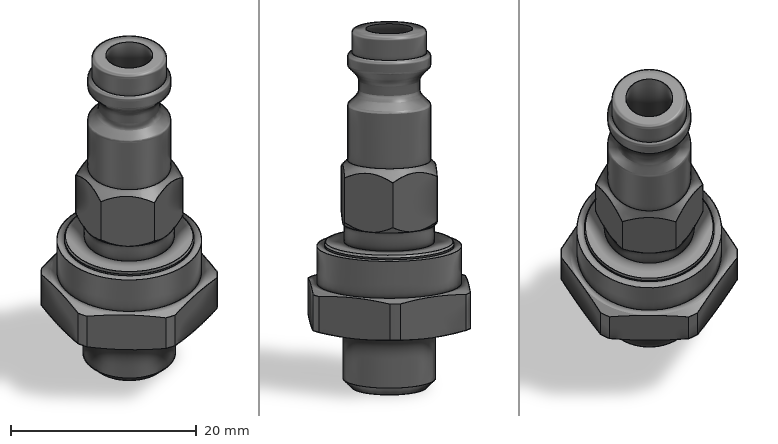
import cadquery as cq
import math

total_length = 39.5
bore_diameter = 5.0

thread_diameter = 10.0
thread_end_diameter = 8.05

large_hex_bottom = 7.0
large_hex_top = 11.5
large_hex_flats = 17.0
large_hex_corners = 19.0
large_hex_chamfer_angle = 15.0

collar_diameter = 15.6
collar_top = 15.55
lip_diameter = 14.0
lip_bevel_start = 15.75
lip_top = 16.05
lip_bevel_width = 0.1

stem_diameter = 9.7
small_hex_bottom = 18.05
small_hex_top = 25.05
small_hex_flats = 10.0
small_hex_chamfer_angle = 45.0

plug_diameter = 8.95
neck_diameter = 6.6
groove_bottom = 31.2
groove_top = 35.45
groove_edge_radius = 0.4
groove_root_radius = 1.0
shoulder_height = 36.9
tip_diameter = 8.05
tip_fillet = 0.47
shoulder_fillet = (plug_diameter - tip_diameter) / 2


def cylinder(diameter, bottom, top):
    return cq.Workplane("XY").workplane(offset=bottom).circle(diameter / 2).extrude(top - bottom)


def chamfered_hex(flats, bottom, top, outer_diameter, top_face_diameter, bottom_face_diameter, angle):
    """Hexagon with flats facing X, trimmed by a round blank with conical ends."""
    corner_diameter = flats / math.cos(math.pi / 6)
    prism = (
        cq.Workplane("XY")
        .workplane(offset=bottom)
        .transformed(rotate=(0, 0, 30))
        .polygon(6, corner_diameter)
        .extrude(top - bottom)
    )
    slope = math.tan(math.radians(angle))
    outer_radius = outer_diameter / 2
    top_radius = top_face_diameter / 2
    bottom_radius = bottom_face_diameter / 2
    blank = (
        cq.Workplane("XZ")
        .moveTo(0, bottom)
        .lineTo(bottom_radius, bottom)
        .lineTo(outer_radius, bottom + (outer_radius - bottom_radius) * slope)
        .lineTo(outer_radius, top - (outer_radius - top_radius) * slope)
        .lineTo(top_radius, top)
        .lineTo(0, top)
        .close()
        .revolve(360, (0, 0), (0, 1))
    )
    return prism.intersect(blank)


def threaded_end():
    chamfer = (thread_diameter - thread_end_diameter) / 2
    return cylinder(thread_diameter, 0, large_hex_bottom).faces("<Z").chamfer(chamfer)


def collar():
    lip = cylinder(lip_diameter, collar_top, lip_top)
    lip = lip.faces(">Z").edges().chamfer(lip_top - lip_bevel_start, lip_bevel_width)
    return cylinder(collar_diameter, large_hex_top, collar_top).union(lip)


def plug():
    """Plug nipple with a 45 degree locking groove and rounded edges."""
    body = cylinder(plug_diameter, small_hex_top, shoulder_height)
    groove_depth = (plug_diameter - neck_diameter) / 2
    groove = (
        cq.Workplane("XZ")
        .moveTo(plug_diameter / 2, groove_bottom)
        .lineTo(neck_diameter / 2, groove_bottom + groove_depth)
        .lineTo(neck_diameter / 2, groove_top - groove_depth)
        .lineTo(plug_diameter / 2, groove_top)
        .close()
        .revolve(360, (0, 0), (0, 1))
    )
    body = body.cut(groove)

    def edges_at(height):
        tolerance = 0.005
        reach = plug_diameter
        box = cq.selectors.BoxSelector(
            (-reach, -reach, height - tolerance), (reach, reach, height + tolerance), boundingbox=True
        )
        return body.edges(box)

    for height in (groove_bottom + groove_depth, groove_top - groove_depth):
        body = edges_at(height).fillet(groove_root_radius)
    for height in (groove_bottom, groove_top):
        body = edges_at(height).fillet(groove_edge_radius)

    tip = cylinder(tip_diameter, shoulder_height, total_length).faces(">Z").edges().fillet(tip_fillet)
    return edges_at(shoulder_height).fillet(shoulder_fillet).union(tip)


large_hex = chamfered_hex(
    large_hex_flats,
    large_hex_bottom,
    large_hex_top,
    outer_diameter=large_hex_corners,
    top_face_diameter=large_hex_flats,
    bottom_face_diameter=large_hex_flats,
    angle=large_hex_chamfer_angle,
)
small_hex = chamfered_hex(
    small_hex_flats,
    small_hex_bottom,
    small_hex_top,
    outer_diameter=small_hex_flats / math.cos(math.pi / 6),
    top_face_diameter=plug_diameter,
    bottom_face_diameter=small_hex_flats,
    angle=small_hex_chamfer_angle,
)
stem = cylinder(stem_diameter, lip_top, small_hex_bottom)
bore = cylinder(bore_diameter, 0, total_length)

result = threaded_end().union(large_hex).union(collar()).union(stem).union(small_hex).union(plug()).cut(bore)